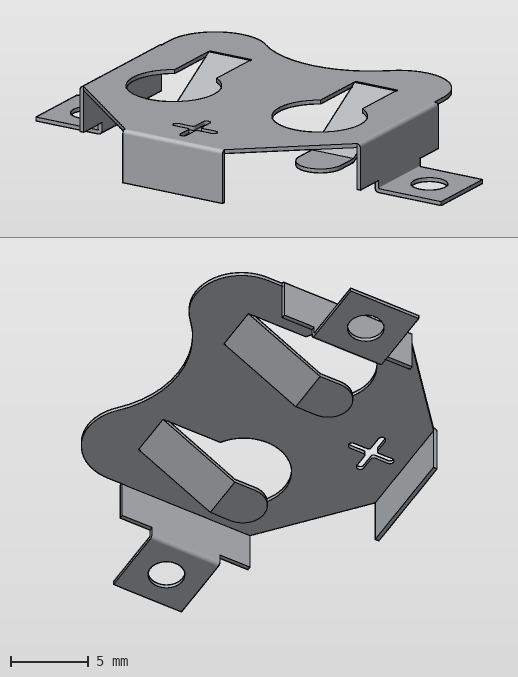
import cadquery as cq
import math


thickness = 0.28
bend_radius = 0.273
total_length = 30.67
total_depth = 19.65
total_height = 3.95

back_y = 9.17
front_y = back_y - total_depth
flange_outer_x = 10.6
plate_half_width = flange_outer_x - thickness
plate_front_y = front_y + thickness
lobe_radius = 3.37
notch_radius = 7.02

flange_width = 9.45
flange_height = 3.13
tab_width = 5.03
tab_hole_diameter = 2.35
tab_hole_x = 12.88
tab_inner_radius = 0.05
lip_width = 7.55
lip_height = 3.6

tongue_x = 5.52
tongue_width = 3.15
window_radius = 3.07
window_y = -1.5
slot_end_y = 5.37
tongue_bend_y = 0.05
tongue_tip_radius = 1.55
tongue_tip_y = -3.0
tongue_depth = 3.35
tongue_step_depth = 0.03
tongue_step_length = 0.12

cross_y = -7.75
cross_length = 3.28
cross_arm_width = 0.5
cross_fillet = 0.18


def box(x_range, y_range, z_range):
    """Box spanning the given (low, high) ranges."""
    size = [high - low for low, high in (x_range, y_range, z_range)]
    corner = (x_range[0], y_range[0], z_range[0])
    return cq.Workplane("XY").box(*size, centered=False).translate(corner)


def top_plate():
    """Flat plate with two round lobes joined by a tangent concave notch."""
    lobe_x = plate_half_width - lobe_radius
    lobe_y = back_y - lobe_radius
    notch_y = lobe_y + math.sqrt((lobe_radius + notch_radius) ** 2 - lobe_x**2)
    share = lobe_radius / (lobe_radius + notch_radius)
    joint_x = lobe_x * (1 - share)
    joint_y = lobe_y + (notch_y - lobe_y) * share
    corner_y = -flange_width / 2
    return (
        cq.Workplane("XY")
        .moveTo(-lip_width / 2, plate_front_y)
        .lineTo(lip_width / 2, plate_front_y)
        .lineTo(plate_half_width, corner_y)
        .lineTo(plate_half_width, lobe_y)
        .threePointArc((lobe_x, back_y), (joint_x, joint_y))
        .threePointArc((0, notch_y - notch_radius), (-joint_x, joint_y))
        .threePointArc((-lobe_x, back_y), (-plate_half_width, lobe_y))
        .lineTo(-plate_half_width, corner_y)
        .close()
        .extrude(-thickness)
    )


def right_flange():
    """Side flange at +X that turns outward into a drilled solder tab."""
    inner_x = plate_half_width
    half_tab = tab_width / 2
    tab_top = thickness - total_height
    wall = box((inner_x, flange_outer_x), (-flange_width / 2, flange_width / 2), (-flange_height, 0))
    wall = wall.edges("|Y and >X and >Z").fillet(bend_radius)
    foot = box((inner_x, total_length / 2), (-half_tab, half_tab), (-total_height, tab_top))
    foot = foot.edges("|Y and <X and <Z").fillet(bend_radius)
    neck = box((inner_x, flange_outer_x), (-half_tab, half_tab), (tab_top, -flange_height))
    hole = (
        cq.Workplane("XY", origin=(tab_hole_x, 0, -total_height))
        .circle(tab_hole_diameter / 2)
        .extrude(thickness)
    )
    bent = wall.union(neck).union(foot.cut(hole))
    corner = cq.selectors.NearestToPointSelector((flange_outer_x, 0, tab_top))
    return bent.edges("|Y").edges(corner).fillet(tab_inner_radius)


def front_lip():
    """Lip folded straight down at the front edge."""
    lip = box((-lip_width / 2, lip_width / 2), (front_y, plate_front_y), (-lip_height, 0))
    return lip.edges("|X and <Y and >Z").fillet(bend_radius)


def keyhole_window(x):
    """Round window with a slot running back to the root of the tongue."""
    half = tongue_width / 2
    round_part = cq.Workplane("XY").center(x, window_y).circle(window_radius).extrude(-thickness)
    slot = box((x - half, x + half), (window_y, slot_end_y), (-thickness, 0))
    return round_part.union(slot)


def tongue(x):
    """Spring tongue sloping down from the slot end to a flat, round tip."""
    half = tongue_width / 2
    blank = (
        cq.Workplane("YZ", origin=(x - half, 0, 0))
        .moveTo(slot_end_y, -tongue_step_depth)
        .lineTo(slot_end_y - tongue_step_length, -tongue_step_depth)
        .lineTo(tongue_bend_y, thickness - tongue_depth)
        .lineTo(tongue_tip_y, thickness - tongue_depth)
        .lineTo(tongue_tip_y, -tongue_depth)
        .lineTo(tongue_bend_y, -tongue_depth)
        .lineTo(slot_end_y, -thickness)
        .close()
        .extrude(tongue_width)
    )
    return blank.edges("|Z and <Y").fillet(tongue_tip_radius)


def polarity_cross():
    """Plus-shaped opening with round arm ends and filleted inner corners."""
    arms = cq.Workplane("XY").slot2D(cross_length, cross_arm_width).extrude(-thickness)
    arms = arms.union(arms.rotate((0, 0, 0), (0, 0, 1), 90))
    inner = cq.selectors.BoxSelector(
        (-cross_arm_width, -cross_arm_width, -thickness),
        (cross_arm_width, cross_arm_width, thickness),
    )
    return arms.edges("|Z").edges(inner).fillet(cross_fillet).translate((0, cross_y, 0))


flange = right_flange()
result = top_plate().union(flange).union(flange.mirror("YZ")).union(front_lip())
result = result.cut(polarity_cross())
for side in (-1, 1):
    result = result.cut(keyhole_window(side * tongue_x))
    result = result.union(tongue(side * tongue_x))